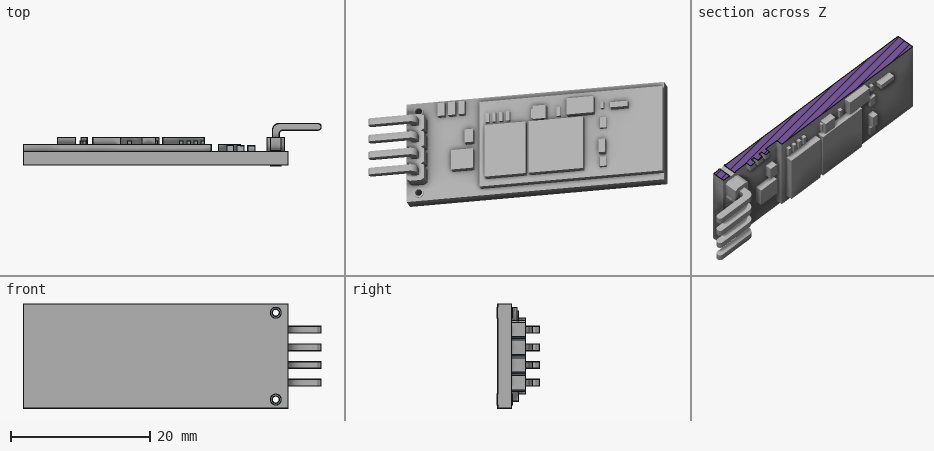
import cadquery as cq


board_length = 38.0
board_thickness = 2.0
board_height = 15.0

module_length = 27.0
module_thickness = 1.0
module_margin = 1.0
module_height = board_height - 2 * module_margin
module_face = board_thickness + module_thickness

chip_height = 1.0
small_height = 0.5
passive_height = 0.8

pin_count = 4
pin_pitch = 2.54
header_edge_distance = 1.77
header_x = board_length - header_edge_distance
header_height = 2.0
header_chamfer_x = 0.49
header_chamfer_z = 0.25
pin_size = 1.0
pin_reach = 4.0
pin_end_x = 42.75
bend_outer_radius = 1.0
bend_inner_radius = 0.5
pin_tip_radius = 0.49

hole_edge_distance = 1.27
hole_diameter = 1.0
ring_diameter = 1.55
ring_thickness = 0.1

module_chips = [
    (4.9, 7.5, 11.0, 11.8),
    (8.25, 9.2, 4.25, 6.3),
    (9.95, 13.95, 10.5, 13.0),
    (17.0, 18.95, 10.27, 12.3),
    (11.5, 19.5, 2.05, 10.0),
    (20.0, 26.0, 2.05, 10.0),
]

module_small_parts = [
    (8.55, 9.0, 11.2, 12.2),
    (8.15, 9.2, 8.2, 9.8),
    (8.15, 9.2, 2.3, 3.75),
    (14.95, 15.5, 10.6, 12.0),
    (18.7, 19.25, 10.6, 12.0),
]

row_count = 4
row_start_x = 22.45
row_pitch = 1.02
row_part_width = 0.5
row_z_start = 10.6
row_z_end = 12.0

board_chips = [
    (28.0, 29.25, 8.0, 10.0),
    (28.0, 31.2, 4.0, 7.0),
]
board_passives = [
    (29.25, 30.15, 12.5, 14.5),
    (30.65, 31.7, 12.5, 14.5),
    (32.2, 33.25, 12.5, 14.5),
]


def box(x_start, x_end, y_start, y_end, z_start, z_end):
    """Box given by its limits along each axis."""
    size = (x_end - x_start, y_end - y_start, z_end - z_start)
    return cq.Workplane("XY").box(*size, centered=False).translate((x_start, y_start, z_start))


def components(footprints, face, height):
    """Boxes of one height standing on the face at Y = face."""
    return [box(x0, x1, face, face + height, z0, z1) for x0, x1, z0, z1 in footprints]


def small_part_row():
    """Footprints of the evenly spaced row of small parts."""
    starts = [row_start_x + i * row_pitch for i in range(row_count)]
    return [(x, x + row_part_width, row_z_start, row_z_end) for x in starts]


def header_body(z):
    """One chamfered cell of the header's plastic body, centred at height z."""
    half = pin_pitch / 2
    corner_x = half - header_chamfer_x
    corner_z = half - header_chamfer_z
    outline = [
        (-half, -corner_z),
        (-corner_x, -half),
        (corner_x, -half),
        (half, -corner_z),
        (half, corner_z),
        (corner_x, half),
        (-corner_x, half),
        (-half, corner_z),
    ]
    return (
        cq.Workplane("XZ", origin=(header_x, board_thickness, z))
        .polyline(outline)
        .close()
        .extrude(-header_height)
    )


def header_pin(z):
    """Square pin leaving the body along +Y and bent towards +X, rounded at its tip."""
    x_left = header_x - pin_size / 2
    x_right = header_x + pin_size / 2
    y_base = board_thickness + header_height
    y_top = board_thickness + pin_reach
    y_under = y_top - pin_size
    pin = (
        cq.Workplane("XY", origin=(0, 0, z - pin_size / 2))
        .moveTo(x_left, y_base)
        .lineTo(x_left, y_top - bend_outer_radius)
        .radiusArc((x_left + bend_outer_radius, y_top), bend_outer_radius)
        .lineTo(pin_end_x, y_top)
        .lineTo(pin_end_x, y_under)
        .lineTo(x_right + bend_inner_radius, y_under)
        .radiusArc((x_right, y_under - bend_inner_radius), -bend_inner_radius)
        .lineTo(x_right, y_base)
        .close()
        .extrude(pin_size)
    )
    return pin.faces(">X").edges("|Z").fillet(pin_tip_radius)


def hole_cylinder(z, diameter):
    """Cylinder along Y at a mounting hole, reaching past both board faces by the ring thickness."""
    return (
        cq.Workplane("XZ", origin=(header_x, -ring_thickness, z))
        .circle(diameter / 2)
        .extrude(-(board_thickness + 2 * ring_thickness))
    )


hole_heights = [hole_edge_distance, board_height - hole_edge_distance]
first_pin_z = board_height / 2 - (pin_count - 1) * pin_pitch / 2
pin_heights = [first_pin_z + i * pin_pitch for i in range(pin_count)]

module_outline = (0, module_length, module_margin, module_margin + module_height)

solids = components([module_outline], board_thickness, module_thickness)
solids += components(module_chips, module_face, chip_height)
solids += components(module_small_parts + small_part_row(), module_face, small_height)
solids += components(board_chips, board_thickness, chip_height)
solids += components(board_passives, board_thickness, passive_height)
solids += [header_body(z) for z in pin_heights]
solids += [header_pin(z) for z in pin_heights]
solids += [hole_cylinder(z, ring_diameter) for z in hole_heights]

result = box(0, board_length, 0, board_thickness, 0, board_height)
for solid in solids:
    result = result.union(solid)
for z in hole_heights:
    result = result.cut(hole_cylinder(z, hole_diameter))